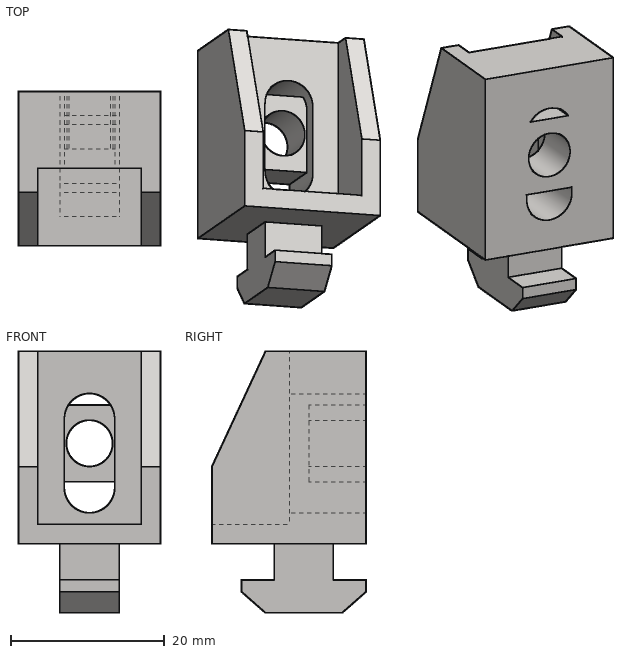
import cadquery as cq

width = 18.5
depth = 20.05
total_height = 34
body_height = 25.02
body_base = total_height - body_height

wall = 2.5
back_thickness = 10.0
pocket_depth = depth - back_thickness

top_land = 13.1
front_edge_height = 10.03

slot_width = 6.53
slot_height = 15.47
slot_bottom = 4.05
bridge_height = 10.0
bridge_bottom = 8.05
bridge_recess = 2.5
hole_diameter = 6.0

foot_width = 7.75
flange_depth = 16.22
flange_height = 4.3
flange_edge_height = 2.75
flange_bevel_depth = 3.13
neck_depth = 7.7
neck_inset = (flange_depth - neck_depth) / 2


def extrude_side_profile(points, thickness):
    """Extrude a (Y, Z) outline along X, centred on X = 0."""
    return cq.Workplane("YZ").polyline(points).close().extrude(thickness / 2, both=True)


def make_body():
    outline = [
        (0, body_base),
        (depth, body_base),
        (depth, total_height),
        (depth - top_land, total_height),
        (0, body_base + front_edge_height),
    ]
    pocket = cq.Workplane("XY").box(
        width - 2 * wall, pocket_depth, body_height - wall, centered=(True, False, False)
    ).translate((0, 0, body_base + wall))
    return extrude_side_profile(outline, width).cut(pocket)


def make_slot():
    slot_center = body_base + slot_bottom + slot_height / 2
    return (
        cq.Workplane("XZ", origin=(0, depth, 0))
        .center(0, slot_center)
        .slot2D(slot_height, slot_width, 90)
        .extrude(back_thickness)
    )


def make_bridge(slot):
    """Fill the middle of the slot behind a recess and drill the round hole."""
    bridge_depth = back_thickness - bridge_recess
    bridge_center = body_base + bridge_bottom + bridge_height / 2
    back_plane = cq.Workplane("XZ", origin=(0, depth, bridge_center))
    block = back_plane.rect(slot_width, bridge_height).extrude(bridge_depth)
    hole = back_plane.circle(hole_diameter / 2).extrude(bridge_depth)
    return block.intersect(slot).cut(hole)


def make_foot():
    flange_front = depth - flange_depth
    outline = [
        (flange_front + flange_bevel_depth, 0),
        (depth - flange_bevel_depth, 0),
        (depth, flange_edge_height),
        (depth, flange_height),
        (depth - neck_inset, flange_height),
        (depth - neck_inset, body_base),
        (flange_front + neck_inset, body_base),
        (flange_front + neck_inset, flange_height),
        (flange_front, flange_height),
        (flange_front, flange_edge_height),
    ]
    return extrude_side_profile(outline, foot_width)


slot = make_slot()
result = make_body().cut(slot).union(make_bridge(slot)).union(make_foot())